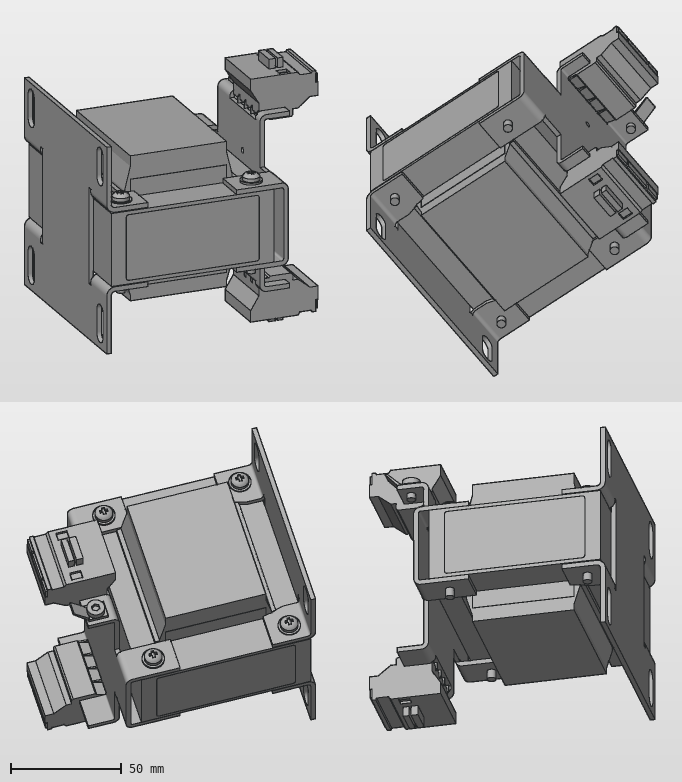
import cadquery as cq
import math

CORE_WIDTH = 96.0
SHEET_WIDTH = CORE_WIDTH - 0.1
SHEET = 2.3

CORE_DEPTH = 79.8
CORE_HALF_HEIGHT = 17.7
CORE_MID_Y = SHEET + CORE_DEPTH / 2
LABEL_THICKNESS = 0.06
LABEL_SIZE_Y = 65.3
LABEL_SIZE_Z = 31.8
LABEL_MID_Y = 42.2
LABEL_RADIUS = 1.3

COIL_WIDTH = 62.7
COIL_TOP_HALF = 23.6
COIL_FOOT_HALF = 26.4
COIL_TAPER_FOOT_Z = 21.0
COIL_TAPER_TOP_Z = 32.3
COIL_TOP_Z = 37.3
COIL_BOTTOM_TAPER_Z = 30.0
COIL_BOTTOM_Z = 32.9
WRAP_WIDTH = COIL_WIDTH + 0.3
WRAP_HALF_HEIGHT = 26.0
BOBBIN_HALF = 28.6
BOBBIN_HALF_HEIGHT = 19.8

PLATE_HEIGHT = 100.1
FOOT_CLEARANCE = 0.4
FOOT_Z = CORE_HALF_HEIGHT + FOOT_CLEARANCE
FOOT_BEND_RADIUS = 4.1
FOOT_END_Y = 20.2
FOOT_INNER_X = 29.2
FOOT_TIP_X = 32.1
FOOT_TAPER_Y = 10.0
WINDOW_INNER_X = 27.0
RELIEF_HALF_HEIGHT = 23.1
SLOT_LENGTH = 18.3
SLOT_WIDTH = 7.0
SLOT_X = 40.0
SLOT_Z = 38.0

REAR_FACE_Y = 89.2
REAR_INNER_Y = REAR_FACE_Y - SHEET
REAR_BEND_RADIUS = 3.3
ARM_END_Y = 63.8
ARM_INNER_X = 32.0
RISER_LEFT_X = -29.0
RISER_RIGHT_X = 20.2
TAB_TOP_Z = 42.8
TAB_END_Y = 101.5
RISER_HOLE_DIAMETER = 2.5
RISER_HOLE_Z = 18.8
SILL_Z = 39.0

SCREW_X = 40.1
SCREW_PITCH_Y = 64.0
SCREW_SEAT_Z = FOOT_Z + SHEET
WASHER_RADIUS = 5.1
WASHER_THICKNESS = 0.5
HEAD_RADIUS = 4.1
HEAD_RIM_Z = 22.5
HEAD_TOP_Z = 24.3
HEAD_TOP_RADIUS = 1.5
HEAD_BULGE = 0.3
CROSS_LENGTH = 3.5
CROSS_WIDTH = 1.3
CROSS_DEPTH = 1.3
SHANK_RADIUS = 2.0
SHANK_END_Z = -24.1

TERMINAL_WIDTH = 29.7
TERMINAL_BACK_Y = 117.7
TERMINAL_STEP_Y = 116.6
TERMINAL_TOP_Z = 58.8
NECK_Y = 88.6
LATCH_Y = 117.5
LATCH_LOW_Z = 52.6
LATCH_HIGH_Z = 56.8
LATCH_WIDTH = TERMINAL_WIDTH - 0.5
LATCH_GAP = 1.0
LEVER_WIDTH = 12.2
LEVER_TOP_Z = 63.5
LEVER_SPANS_Y = [(97.3, 100.5), (101.5, 104.1)]
POCKET_X = 11.2
POCKET_Y = 102.0
POCKET_SIZE_X = 3.8
POCKET_SIZE_Y = 5.1
POCKET_DEPTH = 1.3
RIB_COUNT = 4
RIB_WIDTH = 0.8

EARTH_X = -23.0
EARTH_Y = 96.3
EARTH_HEAD_RADIUS = 4.1
EARTH_HEAD_TOP_Z = 47.1
EARTH_PLATE_TOP_Z = 44.3
EARTH_SOCKET_WIDTH = 3.8
EARTH_SOCKET_DEPTH = 1.5
EARTH_SHANK_END_Z = 37.8
CLAMP_SIZE_X = 7.9
CLAMP_FRONT_Y = 91.5
CLAMP_BACK_Y = 100.6
TONGUE_WIDTH = 6.4
TONGUE_END_Y = 107.8
TONGUE_END_Z = 51.2
TONGUE_THICKNESS = 0.5


def block(x0, x1, y0, y1, z0, z1):
    """Box given by its limits along each axis."""
    return cq.Workplane("XY").box(x1 - x0, y1 - y0, z1 - z0, centered=False).translate((x0, y0, z0))


def disc(x, y, radius, z0, z1):
    """Upright cylinder between two heights."""
    return cq.Workplane("XY").workplane(offset=z0).center(x, y).circle(radius).extrude(z1 - z0)


def yz_prism(points, x0, x1):
    """Closed outline of (y, z) points carried along X."""
    return cq.Workplane("YZ").workplane(offset=x0).polyline(points).close().extrude(x1 - x0)


def bent_strip(face_y, face_z, end_y, end_z, radius, x0, x1):
    """L-shaped sheet whose outer faces lie on face_y and face_z, joined by a round bend."""
    dy = math.copysign(1, end_y - face_y)
    dz = math.copysign(1, end_z - face_z)
    bend_y = face_y + dy * radius
    bend_z = face_z + dz * radius
    outer_step = radius * math.sqrt(0.5)
    inner_step = (radius - SHEET) * math.sqrt(0.5)
    return (
        cq.Workplane("YZ")
        .workplane(offset=x0)
        .moveTo(face_y, end_z)
        .lineTo(face_y, bend_z)
        .threePointArc((bend_y - dy * outer_step, bend_z - dz * outer_step), (bend_y, face_z))
        .lineTo(end_y, face_z)
        .lineTo(end_y, face_z + dz * SHEET)
        .lineTo(bend_y, face_z + dz * SHEET)
        .threePointArc(
            (bend_y - dy * inner_step, bend_z - dz * inner_step),
            (face_y + dy * SHEET, bend_z),
        )
        .lineTo(face_y + dy * SHEET, end_z)
        .close()
        .extrude(x1 - x0)
    )


def with_mirror(solid, plane):
    """The solid together with its mirror image."""
    return solid.union(solid.mirror(plane))


def make_core():
    half_width = CORE_WIDTH / 2
    core = block(
        -half_width, half_width, SHEET, SHEET + CORE_DEPTH, -CORE_HALF_HEIGHT, CORE_HALF_HEIGHT
    )
    label = (
        cq.Workplane("XY")
        .box(CORE_WIDTH + 2 * LABEL_THICKNESS, LABEL_SIZE_Y, LABEL_SIZE_Z)
        .edges("|X")
        .fillet(LABEL_RADIUS)
        .translate((0, LABEL_MID_Y, 0))
    )
    return core.union(label)


def make_coil():
    outline = [
        (COIL_FOOT_HALF, -COIL_TAPER_FOOT_Z),
        (COIL_FOOT_HALF, COIL_TAPER_FOOT_Z),
        (COIL_TOP_HALF, COIL_TAPER_TOP_Z),
        (COIL_TOP_HALF, COIL_TOP_Z),
        (-COIL_TOP_HALF, COIL_TOP_Z),
        (-COIL_TOP_HALF, COIL_TAPER_TOP_Z),
        (-COIL_FOOT_HALF, COIL_TAPER_FOOT_Z),
        (-COIL_FOOT_HALF, -COIL_TAPER_FOOT_Z),
        (-COIL_TOP_HALF, -COIL_BOTTOM_TAPER_Z),
        (-COIL_TOP_HALF, -COIL_BOTTOM_Z),
        (COIL_TOP_HALF, -COIL_BOTTOM_Z),
        (COIL_TOP_HALF, -COIL_BOTTOM_TAPER_Z),
    ]
    coil = yz_prism(outline, -COIL_WIDTH / 2, COIL_WIDTH / 2)
    wrap = cq.Workplane("XY").box(WRAP_WIDTH, 2 * COIL_TOP_HALF, 2 * WRAP_HALF_HEIGHT)
    bobbin = cq.Workplane("XY").box(COIL_WIDTH, 2 * BOBBIN_HALF, 2 * BOBBIN_HALF_HEIGHT)
    return coil.union(wrap).union(bobbin).translate((0, CORE_MID_Y, 0))


def make_foot():
    """One flange bent back from the mounting plate, at +X and +Z."""
    half_width = SHEET_WIDTH / 2
    foot = bent_strip(
        0, FOOT_Z, FOOT_END_Y, RELIEF_HALF_HEIGHT, FOOT_BEND_RADIUS, FOOT_INNER_X, half_width
    )
    taper = (
        cq.Workplane("XY")
        .polyline([(FOOT_INNER_X, FOOT_TAPER_Y), (FOOT_TIP_X, FOOT_END_Y), (FOOT_INNER_X, FOOT_END_Y)])
        .close()
        .extrude(PLATE_HEIGHT)
    )
    return foot.cut(taper)


def make_front_plate():
    half_width = SHEET_WIDTH / 2
    plate = block(-half_width, half_width, 0, SHEET, -PLATE_HEIGHT / 2, PLATE_HEIGHT / 2)
    window_half_height = FOOT_Z + FOOT_BEND_RADIUS
    window = block(FOOT_INNER_X, half_width, 0, SHEET, -window_half_height, window_half_height)
    relief = block(
        WINDOW_INNER_X, FOOT_INNER_X, 0, SHEET, -RELIEF_HALF_HEIGHT, RELIEF_HALF_HEIGHT
    )
    plate = plate.cut(with_mirror(window.union(relief), "YZ"))
    slots = (
        cq.Workplane("XZ")
        .rect(2 * SLOT_X, 2 * SLOT_Z, forConstruction=True)
        .vertices()
        .slot2D(SLOT_LENGTH, SLOT_WIDTH, 90)
        .extrude(-SHEET)
    )
    feet = with_mirror(with_mirror(make_foot(), "YZ"), "XY")
    return plate.cut(slots).union(feet)


def make_rear_bracket():
    web = block(
        -ARM_INNER_X, ARM_INNER_X, REAR_INNER_Y, REAR_FACE_Y, -CORE_HALF_HEIGHT, CORE_HALF_HEIGHT
    )
    arm = bent_strip(
        REAR_FACE_Y, CORE_HALF_HEIGHT + SHEET, ARM_END_Y, 0, REAR_BEND_RADIUS, ARM_INNER_X, SHEET_WIDTH / 2
    )
    riser = bent_strip(
        REAR_INNER_Y, TAB_TOP_Z, TAB_END_Y, 0, REAR_BEND_RADIUS, RISER_LEFT_X, RISER_RIGHT_X
    )
    opening = block(
        -TERMINAL_WIDTH / 2, TERMINAL_WIDTH / 2, REAR_INNER_Y, TAB_END_Y, SILL_Z, TAB_TOP_Z
    )
    half = with_mirror(arm, "YZ").union(riser.cut(opening))
    hole = (
        cq.Workplane("XZ", origin=(0, REAR_INNER_Y, RISER_HOLE_Z))
        .circle(RISER_HOLE_DIAMETER / 2)
        .extrude(-SHEET)
    )
    return with_mirror(half, "XY").union(web).cut(hole)


def make_clamp_screw(x, y):
    washer = disc(x, y, WASHER_RADIUS, CORE_HALF_HEIGHT, SCREW_SEAT_Z + WASHER_THICKNESS)
    head = (
        cq.Workplane("XZ")
        .moveTo(0, CORE_HALF_HEIGHT)
        .lineTo(HEAD_RADIUS, CORE_HALF_HEIGHT)
        .lineTo(HEAD_RADIUS, HEAD_RIM_Z)
        .threePointArc(
            ((HEAD_RADIUS + HEAD_TOP_RADIUS) / 2 + HEAD_BULGE, (HEAD_RIM_Z + HEAD_TOP_Z) / 2 + HEAD_BULGE),
            (HEAD_TOP_RADIUS, HEAD_TOP_Z),
        )
        .lineTo(0, HEAD_TOP_Z)
        .close()
        .revolve(360, (0, 0, 0), (0, 1, 0))
    )
    cross = cq.Workplane("XY").box(CROSS_LENGTH, CROSS_WIDTH, 2 * CROSS_DEPTH)
    cross = cross.union(cq.Workplane("XY").box(CROSS_WIDTH, CROSS_LENGTH, 2 * CROSS_DEPTH))
    head = head.cut(cross.translate((0, 0, HEAD_TOP_Z))).translate((x, y, 0))
    shank = disc(x, y, SHANK_RADIUS, SHANK_END_Z, CORE_HALF_HEIGHT)
    return washer.union(head).union(shank)


def make_terminal():
    """Upper terminal block standing on the bracket tab."""
    half_width = TERMINAL_WIDTH / 2
    outline = [
        (NECK_Y, 40.6),
        (NECK_Y, 46.6),
        (84.6, 53.2),
        (84.6, TERMINAL_TOP_Z),
        (107.8, TERMINAL_TOP_Z),
        (108.8, 57.4),
        (114.4, 57.4),
        (114.8, 58.3),
        (TERMINAL_STEP_Y, 58.3),
        (TERMINAL_STEP_Y, LATCH_LOW_Z),
        (TERMINAL_BACK_Y, LATCH_LOW_Z),
        (TERMINAL_BACK_Y, 46.1),
        (113.7, 46.1),
        (107.8, 41.4),
        (105.3, 41.4),
        (105.3, 38.6),
        (104.5, 37.8),
        (94.1, 37.8),
        (93.5, 38.6),
    ]
    terminal = yz_prism(outline, -half_width, half_width)

    latch = block(
        -LATCH_WIDTH / 2, LATCH_WIDTH / 2, TERMINAL_STEP_Y, LATCH_Y, LATCH_LOW_Z, LATCH_HIGH_Z
    )
    for side in (-1, 1):
        middle = side * half_width / 2
        notch = block(
            middle - LATCH_GAP / 2, middle + LATCH_GAP / 2,
            TERMINAL_STEP_Y, LATCH_Y, LATCH_LOW_Z, LATCH_HIGH_Z,
        )
        latch = latch.cut(notch)
    terminal = terminal.union(latch)

    for front_y, back_y in LEVER_SPANS_Y:
        lever = block(
            -LEVER_WIDTH / 2, LEVER_WIDTH / 2, front_y, back_y, TERMINAL_TOP_Z, LEVER_TOP_Z
        )
        terminal = terminal.union(lever)

    pocket = cq.Workplane("XY").box(POCKET_SIZE_X, POCKET_SIZE_Y, 2 * POCKET_DEPTH)
    for side in (-1, 1):
        terminal = terminal.cut(pocket.translate((side * POCKET_X, POCKET_Y, TERMINAL_TOP_Z)))

    rib_outline = [
        (94.1, 37.8),
        (93.5, 38.6),
        (90.7, 38.9),
        (89.2, SILL_Z),
        (87.9, SILL_Z),
        (87.9, 41.9),
        (NECK_Y, 42.9),
        (94.1, 42.9),
    ]
    pitch = TERMINAL_WIDTH / RIB_COUNT
    for index in range(RIB_COUNT):
        right_x = -half_width + (index + 1) * pitch
        terminal = terminal.union(yz_prism(rib_outline, right_x - RIB_WIDTH, right_x))
    return terminal


def make_earth_screw():
    plate = block(
        EARTH_X - CLAMP_SIZE_X / 2, EARTH_X + CLAMP_SIZE_X / 2,
        CLAMP_FRONT_Y, CLAMP_BACK_Y, TAB_TOP_Z, EARTH_PLATE_TOP_Z,
    )
    tongue_outline = [
        (CLAMP_BACK_Y - TONGUE_THICKNESS, TAB_TOP_Z),
        (CLAMP_BACK_Y, TAB_TOP_Z),
        (TONGUE_END_Y, TONGUE_END_Z - TONGUE_THICKNESS),
        (TONGUE_END_Y - TONGUE_THICKNESS, TONGUE_END_Z),
        (CLAMP_BACK_Y - TONGUE_THICKNESS, EARTH_PLATE_TOP_Z),
    ]
    tongue = yz_prism(tongue_outline, EARTH_X - TONGUE_WIDTH / 2, EARTH_X + TONGUE_WIDTH / 2)
    head = disc(EARTH_X, EARTH_Y, EARTH_HEAD_RADIUS, EARTH_PLATE_TOP_Z, EARTH_HEAD_TOP_Z)
    socket = (
        cq.Workplane("XY")
        .workplane(offset=EARTH_HEAD_TOP_Z)
        .center(EARTH_X, EARTH_Y)
        .polygon(6, EARTH_SOCKET_WIDTH)
        .extrude(-EARTH_SOCKET_DEPTH)
    )
    shank = disc(EARTH_X, EARTH_Y, SHANK_RADIUS, EARTH_SHANK_END_Z, TAB_TOP_Z)
    return plate.union(tongue).union(head.cut(socket)).union(shank)


result = make_core().union(make_coil()).union(make_front_plate()).union(make_rear_bracket())
for screw_x in (-SCREW_X, SCREW_X):
    for offset_y in (-SCREW_PITCH_Y / 2, SCREW_PITCH_Y / 2):
        result = result.union(make_clamp_screw(screw_x, CORE_MID_Y + offset_y))
result = result.union(with_mirror(make_terminal(), "XY")).union(make_earth_screw())